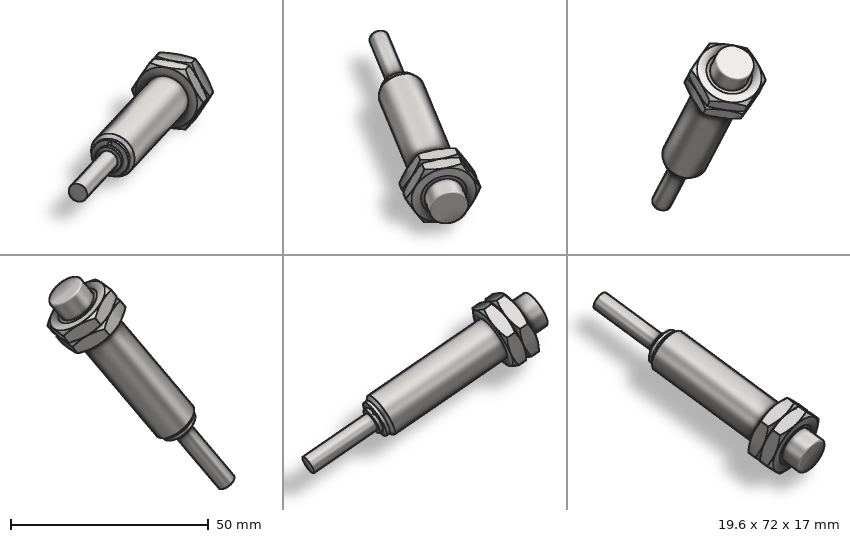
import cadquery as cq
import math


total_length = 72.0
head_radius = 5.05
head_length = 5.7
head_fillet = 0.5
barrel_radius = 6.0
barrel_end = 50.0
cap_radius = head_radius
barrel_chamfer = barrel_radius - cap_radius
cap_end = 51.0
collar_radius = 3.5
collar_end = 52.0
cable_radius = 2.5

lamp_radius = 0.5
lamp_height = 4.1

nut_count = 2
nut_thickness = 4.0
nut_across_flats = 17.0
nut_face_radius = 8.4
nut_chamfer_angle = 30.0


def revolve_about_y(points):
    return cq.Workplane("XY").polyline(points).close().revolve(360, (0, 0, 0), (0, 1, 0))


def make_sensor():
    turned = revolve_about_y([
        (0, 0),
        (head_radius, 0),
        (head_radius, -head_length),
        (barrel_radius, -head_length),
        (barrel_radius, -(barrel_end - barrel_chamfer)),
        (cap_radius, -barrel_end),
        (cap_radius, -cap_end),
        (collar_radius, -cap_end),
        (collar_radius, -collar_end),
        (cable_radius, -collar_end),
        (cable_radius, -total_length),
        (0, -total_length),
    ])
    turned = turned.faces(">Y").edges().fillet(head_fillet)
    lamp = cq.Workplane("XY").sphere(lamp_radius).translate((0, -cap_end, lamp_height))
    return turned.union(lamp)


def make_nut(front_y):
    """Hexagonal nut with corners on the X axis, its corners chamfered on both faces."""
    corner_radius = nut_across_flats / math.sqrt(3)
    corner_drop = (corner_radius - nut_face_radius) * math.tan(math.radians(nut_chamfer_angle))
    hexagon = cq.Workplane("XZ").polygon(6, 2 * corner_radius).extrude(nut_thickness)
    chamfer_envelope = revolve_about_y([
        (0, 0),
        (nut_face_radius, 0),
        (corner_radius, -corner_drop),
        (corner_radius, corner_drop - nut_thickness),
        (nut_face_radius, -nut_thickness),
        (0, -nut_thickness),
    ])
    bore = cq.Workplane("XZ").circle(barrel_radius).extrude(nut_thickness)
    return hexagon.intersect(chamfer_envelope).cut(bore).translate((0, front_y, 0))


sensor = make_sensor()
lock_nuts = [make_nut(-head_length - i * nut_thickness) for i in range(nut_count)]

result = cq.Compound.makeCompound([sensor.val(), *[nut.val() for nut in lock_nuts]])